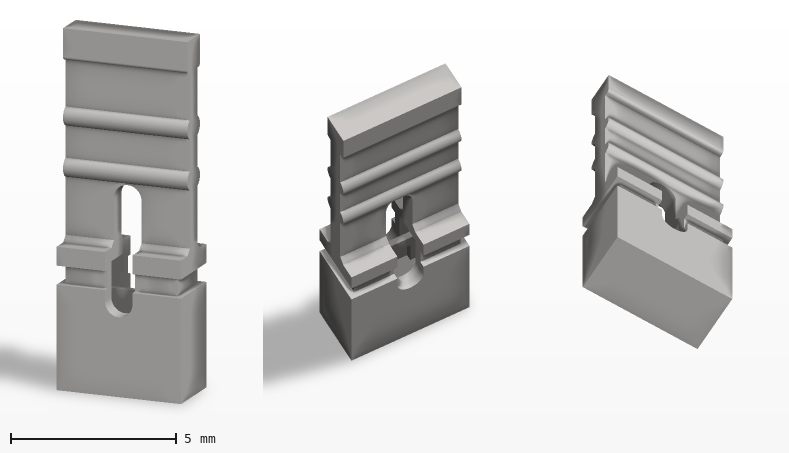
import cadquery as cq

length = 4.05
thickness = 2.0
height = 11.2

groove_bottom = 3.3
groove_top = 3.9
shoulder_top = 4.49
groove_depth = 0.2

blade_thickness = 0.59
head_thickness = 1.0
head_height = 1.0
head_round = 0.1
blade_root_chamfer = 0.19

ridge_heights = [6.8, 8.4]
ridge_width = 0.59
ridge_rise = (head_thickness - blade_thickness) / 2

slot_width = 0.9
slot_bottom = 2.5
slot_top = 6.45

socket_wall = 0.3
socket_length = length - 2 * (groove_depth + socket_wall)
socket_thickness = thickness - 2 * (groove_depth + socket_wall)
socket_floor = 1.79
socket_ceiling = 4.08

contact_thickness = 0.2
contact_top = 3.0
bridge_height = 0.4
leg_gap = 1.41


def box(x_size, y_size, z_low, z_high):
    """Box centred on the Z axis between two heights."""
    return cq.Workplane("XY").workplane(offset=z_low).rect(x_size, y_size).extrude(z_high - z_low)


def make_base():
    core_length = length - 2 * groove_depth
    core_thickness = thickness - 2 * groove_depth
    groove_core = box(core_length, core_thickness, groove_bottom, groove_top)
    shoulder = box(length, thickness, groove_top, shoulder_top)
    return box(length, thickness, 0, groove_bottom).union(groove_core).union(shoulder)


def make_blade():
    blade = box(length, blade_thickness, shoulder_top, height)
    head = box(length, head_thickness, height - head_height, height).edges("|X and <Z").fillet(head_round)
    root = (
        cq.Workplane("YZ")
        .moveTo(-blade_thickness / 2 - blade_root_chamfer, shoulder_top)
        .lineTo(-blade_thickness / 2, shoulder_top + blade_root_chamfer)
        .lineTo(blade_thickness / 2, shoulder_top + blade_root_chamfer)
        .lineTo(blade_thickness / 2 + blade_root_chamfer, shoulder_top)
        .close()
        .extrude(length / 2, both=True)
    )
    return blade.union(head).union(root)


def make_ridge(center_z, side):
    """Ridge on one face of the blade; side is -1 for the -Y face and +1 for the +Y face."""
    face_y = side * blade_thickness / 2
    return (
        cq.Workplane("YZ")
        .moveTo(face_y, center_z - ridge_width / 2)
        .threePointArc((face_y + side * ridge_rise, center_z), (face_y, center_z + ridge_width / 2))
        .lineTo(0, center_z + ridge_width / 2)
        .lineTo(0, center_z - ridge_width / 2)
        .close()
        .extrude(length / 2, both=True)
    )


def make_slot():
    return (
        cq.Workplane("XZ")
        .center(0, (slot_bottom + slot_top) / 2)
        .slot2D(slot_top - slot_bottom, slot_width, 90)
        .extrude(thickness, both=True)
    )


def make_contact():
    plate = box(socket_length, contact_thickness, socket_floor, contact_top)
    gap = box(leg_gap, contact_thickness, socket_floor, contact_top - bridge_height)
    return plate.cut(gap).translate((0, (socket_thickness - contact_thickness) / 2, 0))


result = make_base().union(make_blade())
for ridge_z in ridge_heights:
    for ridge_side in (-1, 1):
        result = result.union(make_ridge(ridge_z, ridge_side))
result = result.cut(make_slot())
result = result.cut(box(socket_length, socket_thickness, socket_floor, socket_ceiling))
result = result.union(make_contact())